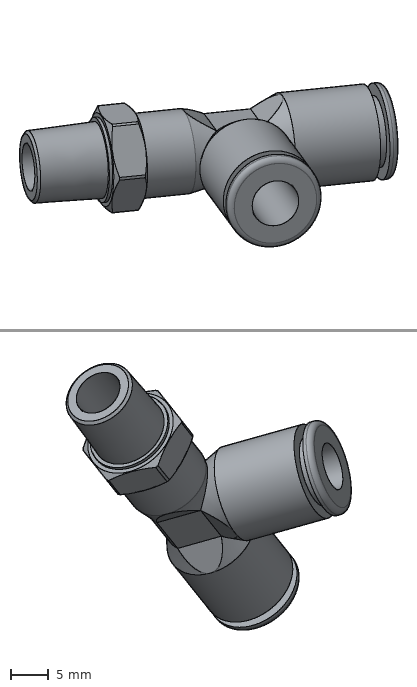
import cadquery as cq
import math


bore_diameter = 6.4

flat_half_width = bore_diameter / 2
flat_height = 3.77
waist_radius = math.hypot(flat_half_width, flat_height)
cone_length = 3.55
cone_end = flat_half_width + cone_length

socket_diameter = 12.95
socket_radius = socket_diameter / 2
socket_end = 18.47
neck_radius = 4.8
neck_length = 1.28
lip_start = socket_end + neck_length
lip_thickness = 1.3
lip_end = lip_start + lip_thickness
lip_rounding = 0.8

stem_radius = 5.7
hex_start = 13.55
hex_length = 4.65
hex_end = hex_start + hex_length
hex_sides = 6
hex_across_flats = 12.7
hex_corner_radius = 7.22
hex_face_radius = 6.28
hex_chamfer_angle = 30
hex_chamfer_length = (hex_corner_radius - hex_face_radius) * math.tan(math.radians(hex_chamfer_angle))
collar_length = 0.45
collar_end = hex_end + collar_length
thread_end = 28.23
thread_end_diameter = 9.728
thread_end_radius = thread_end_diameter / 2
thread_half_taper = 1 / 32
thread_chamfer_length = 0.35
thread_chamfer_depth = 0.4
thread_chamfer_start = thread_end - thread_chamfer_length
thread_start_radius = thread_end_radius + (thread_chamfer_start - collar_end) * thread_half_taper


def revolve_about_y(outline):
    """Revolve a closed (radius, y) outline about the Y axis."""
    return outline.close().revolve(360, (0, 0, 0), (0, 1, 0))


def add_socket_outline(outline):
    """Carry an outline on from the waist's +Y edge: cone, tube socket and release collar."""
    return (
        outline.lineTo(socket_radius, cone_end)
        .lineTo(socket_radius, socket_end)
        .lineTo(neck_radius, socket_end)
        .lineTo(neck_radius, lip_start)
        .lineTo(socket_radius, lip_start)
        .lineTo(socket_radius, lip_end - lip_rounding)
        .radiusArc((socket_radius - lip_rounding, lip_end), -lip_rounding)
        .lineTo(0, lip_end)
    )


def make_run():
    """Thread, collar, stem, cone, waist, cone, tube socket and release collar, from -Y to +Y."""
    thread_and_waist = (
        cq.Workplane("ZY")
        .moveTo(0, -thread_end)
        .lineTo(thread_end_radius - thread_chamfer_depth, -thread_end)
        .lineTo(thread_end_radius, -thread_chamfer_start)
        .lineTo(thread_start_radius, -collar_end)
        .lineTo(stem_radius, -collar_end)
        .lineTo(stem_radius, -cone_end)
        .lineTo(waist_radius, -flat_half_width)
        .lineTo(waist_radius, flat_half_width)
    )
    return revolve_about_y(add_socket_outline(thread_and_waist))


def make_branch():
    """Cone, tube socket and release collar along +Y, starting at the edge of the waist."""
    waist_edge = (
        cq.Workplane("ZY")
        .moveTo(0, flat_half_width)
        .lineTo(waist_radius, flat_half_width)
    )
    return revolve_about_y(add_socket_outline(waist_edge))


def cut_flats(arm, end_radius_minus, end_radius_plus):
    """Cut the top and bottom flats, and the slopes from them up to the radius at each cone's end."""
    top = socket_diameter
    rise = top - flat_height
    slope_length_minus = cone_length * rise / (end_radius_minus - flat_height)
    slope_length_plus = cone_length * rise / (end_radius_plus - flat_height)
    cutter = (
        cq.Workplane("YZ")
        .moveTo(-flat_half_width, flat_height)
        .lineTo(flat_half_width, flat_height)
        .lineTo(flat_half_width + slope_length_plus, top)
        .lineTo(-flat_half_width - slope_length_minus, top)
        .close()
        .extrude(socket_diameter, both=True)
    )
    return arm.cut(cutter).cut(cutter.mirror("XY"))


def make_hex_nut():
    """Hexagon with flats facing +Z and -Z, trimmed at its corners and chamfered at both ends."""
    hex_across_corners = hex_across_flats / math.cos(math.pi / hex_sides)
    hexagon = (
        cq.Workplane("XZ", origin=(0, -hex_start, 0))
        .polygon(hex_sides, hex_across_corners)
        .extrude(hex_length)
    )
    envelope = (
        cq.Workplane("XY")
        .moveTo(0, -hex_start)
        .lineTo(hex_face_radius, -hex_start)
        .lineTo(hex_corner_radius, -hex_start - hex_chamfer_length)
        .lineTo(hex_corner_radius, -hex_end + hex_chamfer_length)
        .lineTo(hex_face_radius, -hex_end)
        .lineTo(0, -hex_end)
    )
    return hexagon.intersect(revolve_about_y(envelope))


def to_branch(shape):
    """Turn a shape lying along +Y so that it lies along +X."""
    return shape.rotate((0, 0, 0), (0, 0, 1), -90)


def make_bore(start, end):
    """Cylinder along Y from start to end."""
    return (
        cq.Workplane("XZ", origin=(0, end, 0))
        .circle(bore_diameter / 2)
        .extrude(end - start)
    )


run = cut_flats(make_run(), stem_radius, socket_radius)
branch = to_branch(cut_flats(make_branch(), socket_radius, socket_radius))
body = run.union(branch).union(make_hex_nut())
run_bore = make_bore(-thread_end, lip_end)
branch_bore = to_branch(make_bore(0, lip_end))
result = body.cut(run_bore).cut(branch_bore)